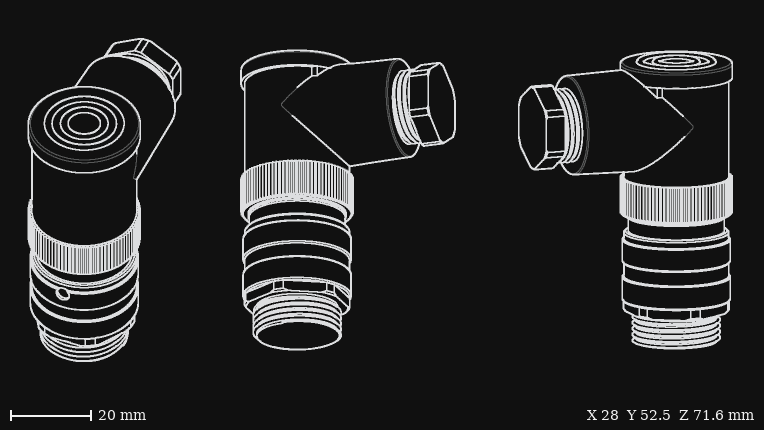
import cadquery as cq
import math


FLANGE_BOTTOM = 7.6
SLEEVE_BOTTOM = 10.3
SLEEVE_TOP = 28.0
RING_BOTTOM = 32.4
RING_TOP = 41.6
CAP_BOTTOM = 66.9
CAP_TOP = 70.9
RIB_HEIGHT = 0.7

NECK_RADIUS = 12.0
TUBE_RADIUS = 13.1
CAP_RADIUS = 14.0

ARM_AXIS_Z = 56.9
ARM_END_Y = 28.6
ARM_END_RADIUS = 12.4
ARM_EDGE_FILLET = 0.3

TAB_WIDTH = 21.0
TAB_BOTTOM = 64.3

CAP_FILLET = 0.5
RIB_RADII = (5.0, 9.0)
RIB_HALF_WIDTH = 0.95

TOOTH_COUNT = 90
TOOTH_TURN = math.radians(-1)
TOOTH_DEPTH = math.pi * CAP_RADIUS / TOOTH_COUNT
RING_CHAMFER = 0.5

COLLAR_RADIUS = 12.25
COLLAR_LENGTH = 0.5
COLLAR_TAPER = 0.4

BAND_RADIUS = 13.5
BAND_STEP = BAND_RADIUS - TUBE_RADIUS
BAND_TOP_EDGE = 0.25
UPPER_BAND = (20.0, 26.0)
LOWER_BAND = (SLEEVE_BOTTOM, 16.5)
SLEEVE_CHAMFER = 0.45
MARK_RADIUS = 1.75
MARK_Z = 24.6
MARK_FLOOR_RADIUS = 12.75

FLANGE_FLATS = 24.0
FLANGE_CORNER_RADIUS = 13.2
FLANGE_CHAMFER = 0.5
FLANGE_TURN = 30
MAIN_THREAD_RADIUS = 11.0
MAIN_ROOT_RADIUS = 10.1
MAIN_COLLAR_RADIUS = 10.2
MAIN_PITCH = 1.5
MAIN_THREAD_LENGTH = 6.9
MAIN_THREAD_START = -0.2

GLAND_FLATS = 19.0
GLAND_CORNER_RADIUS = 10.5
GLAND_CHAMFER = 0.25
GLAND_HEX_START = 33.4
GLAND_END_Y = 38.5
GLAND_THREAD_RADIUS = 9.25
GLAND_ROOT_RADIUS = 8.5
GLAND_PITCH = 1.41
GLAND_THREAD_START = -0.5

THREAD_BASE_RATIO = 0.8
THREAD_OVERLAP = 0.1


def cylinder(radius, bottom, top):
    return cq.Workplane("XY").workplane(offset=bottom).circle(radius).extrude(top - bottom)


def hexagon(flats, corner_radius, bottom, top, chamfer, chamfered_face, turn=0):
    """Hexagonal prism with its corners turned down and one end chamfered."""
    prism = cq.Workplane("XY").workplane(offset=bottom)
    prism = prism.polygon(6, flats, circumscribed=True).extrude(top - bottom)
    prism = prism.rotate((0, 0, 0), (0, 0, 1), turn)
    return prism.intersect(cylinder(corner_radius, bottom, top).faces(chamfered_face).chamfer(chamfer))


def threaded_rod(root_radius, crest_radius, pitch, start, thread_end, rod_end):
    """Rod from z = 0 with a helical ridge; the ridge is cut off flush at both ends."""
    half_base = THREAD_BASE_RATIO * pitch / 2
    base_radius = root_radius - THREAD_OVERLAP
    helix = cq.Wire.makeHelix(pitch, thread_end + half_base - start, base_radius)
    ridge = (
        cq.Workplane("XZ")
        .polyline([(base_radius, -half_base), (crest_radius, 0), (base_radius, half_base)])
        .close()
        .sweep(cq.Workplane(obj=helix), isFrenet=True)
        .translate((0, 0, start))
        .intersect(cylinder(2 * crest_radius, 0, thread_end))
    )
    return cylinder(root_radius, 0, rod_end).union(ridge)


def make_elbow():
    tube = cylinder(TUBE_RADIUS, RING_TOP, CAP_BOTTOM)
    arm = cq.Solid.makeCone(
        TUBE_RADIUS, ARM_END_RADIUS, ARM_END_Y, cq.Vector(0, 0, ARM_AXIS_Z), cq.Vector(0, 1, 0)
    )
    arm = cq.Workplane(obj=arm).faces(">Y").edges().fillet(ARM_EDGE_FILLET)
    tab = (
        cq.Workplane("XY")
        .workplane(offset=TAB_BOTTOM)
        .rect(TAB_WIDTH, 2 * CAP_RADIUS)
        .extrude(CAP_BOTTOM - TAB_BOTTOM)
        .intersect(cylinder(CAP_RADIUS, TAB_BOTTOM, CAP_BOTTOM))
        .intersect(cq.Workplane("XY").box(TAB_WIDTH, CAP_RADIUS, CAP_TOP, centered=(True, False, False)))
    )
    cap_seat = cylinder(CAP_RADIUS, CAP_BOTTOM, CAP_TOP)
    return tube.union(arm).union(tab).cut(cap_seat)


def make_cap():
    cap = cylinder(CAP_RADIUS, CAP_BOTTOM, CAP_TOP).faces(">Z").edges().fillet(CAP_FILLET)
    for radius in RIB_RADII:
        rib = (
            cq.Workplane("XZ")
            .moveTo(radius - RIB_HALF_WIDTH, CAP_TOP)
            .threePointArc((radius, CAP_TOP + RIB_HEIGHT), (radius + RIB_HALF_WIDTH, CAP_TOP))
            .close()
            .revolve(360, (0, 0, 0), (0, 1, 0))
        )
        cap = cap.union(rib)
    return cap


def make_knurled_ring():
    tooth_points = []
    for i in range(2 * TOOTH_COUNT):
        radius = CAP_RADIUS - TOOTH_DEPTH * (i % 2)
        angle = math.pi * i / TOOTH_COUNT + TOOTH_TURN
        tooth_points.append((radius * math.cos(angle), radius * math.sin(angle)))
    teeth = cq.Workplane("XY").workplane(offset=RING_BOTTOM).polyline(tooth_points).close()
    teeth = teeth.extrude(RING_TOP - RING_BOTTOM)
    blank = cylinder(CAP_RADIUS, RING_BOTTOM, RING_TOP).faces("<Z").chamfer(RING_CHAMFER)
    return teeth.intersect(blank).cut(cylinder(NECK_RADIUS, RING_BOTTOM, RING_TOP))


def make_neck():
    collar_bottom = RING_BOTTOM - COLLAR_LENGTH
    return (
        cq.Workplane("XZ")
        .moveTo(0, SLEEVE_TOP)
        .lineTo(NECK_RADIUS, SLEEVE_TOP)
        .lineTo(NECK_RADIUS, collar_bottom - COLLAR_TAPER)
        .lineTo(COLLAR_RADIUS, collar_bottom)
        .lineTo(COLLAR_RADIUS, RING_BOTTOM)
        .lineTo(NECK_RADIUS, RING_BOTTOM)
        .lineTo(NECK_RADIUS, RING_TOP)
        .lineTo(0, RING_TOP)
        .close()
        .revolve(360, (0, 0, 0), (0, 1, 0))
    )


def make_sleeve():
    sleeve = cylinder(TUBE_RADIUS, SLEEVE_BOTTOM, SLEEVE_TOP).faces(">Z").chamfer(SLEEVE_CHAMFER)
    for bottom, top in (LOWER_BAND, UPPER_BAND):
        band = cylinder(BAND_RADIUS, bottom, top).faces("<Z").chamfer(BAND_STEP)
        band = band.faces(">Z").chamfer(BAND_TOP_EDGE)
        sleeve = sleeve.union(band)
    mark = (
        cq.Workplane("XZ")
        .center(0, MARK_Z)
        .circle(MARK_RADIUS)
        .extrude(2 * BAND_RADIUS)
        .cut(cylinder(MARK_FLOOR_RADIUS, SLEEVE_BOTTOM, SLEEVE_TOP))
    )
    return sleeve.cut(mark)


def make_threaded_flange():
    stem = threaded_rod(
        MAIN_ROOT_RADIUS, MAIN_THREAD_RADIUS, MAIN_PITCH, MAIN_THREAD_START, MAIN_THREAD_LENGTH, FLANGE_BOTTOM
    )
    flange = hexagon(
        FLANGE_FLATS, FLANGE_CORNER_RADIUS, FLANGE_BOTTOM, SLEEVE_BOTTOM, FLANGE_CHAMFER, "<Z", FLANGE_TURN
    )
    collar = cylinder(MAIN_COLLAR_RADIUS, MAIN_THREAD_LENGTH, FLANGE_BOTTOM)
    return stem.union(collar).union(flange)


def make_gland():
    """Built upright from z = 0, then laid along the arm axis."""
    stem_length = GLAND_HEX_START - ARM_END_Y
    stem = threaded_rod(
        GLAND_ROOT_RADIUS, GLAND_THREAD_RADIUS, GLAND_PITCH, GLAND_THREAD_START, stem_length, stem_length
    )
    head = hexagon(
        GLAND_FLATS, GLAND_CORNER_RADIUS, stem_length, GLAND_END_Y - ARM_END_Y, GLAND_CHAMFER, ">Z"
    )
    upright = stem.union(head)
    return upright.rotate((0, 0, 0), (1, 0, 0), -90).translate((0, ARM_END_Y, ARM_AXIS_Z))


elbow = make_elbow()
cap = make_cap()
knurled_ring = make_knurled_ring()
neck = make_neck()
sleeve = make_sleeve()
threaded_flange = make_threaded_flange()
gland = make_gland()

bodies = [elbow, cap, knurled_ring, neck, sleeve, threaded_flange, gland]
result = cq.Compound.makeCompound([body.solids().val() for body in bodies])